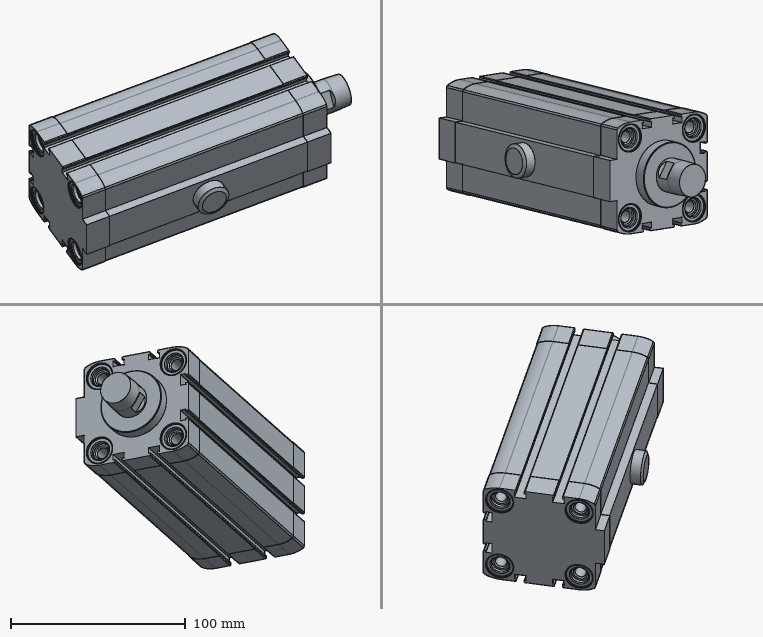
import cadquery as cq
import math

total_length = 186.4
total_width = 78.3
housing_length = 158.3
rear_cap_length = 15.0
front_cap_length = 15.3
cap_height = 65.5
cap_width = 65.8
barrel_inset = 0.2

half_width = cap_width / 2
half_height = cap_height / 2
screw_offset = 23.3
corner_drop = 2.8
corner_chamfer = 0.7
slot_offset = 11.2
slot_depth = 5.0
lip_depth = 1.7
lip_chamfer = 0.5
slot_opening = 4.7
slot_width = 6.7
ridge_width = 24.0
ridge_height = 5.2
ridge_face = half_width + ridge_height

mouth_diameter = 16.4
mouth_depth = 0.5
counterbore_diameter = 15.5
counterbore_depth = 1.1
countersink_diameter = 12.0
socket_diameter = 10.6
socket_depth = 3.7
core_chamfer_diameter = 8.4
core_diameter = 6.7

collar_diameter = 38.2
collar_length = 7.3
collar_chamfer = 0.4

rod_diameter = 20.0
rod_tip_diameter = 19.0
rod_tip_length = 10.3
flat_distance = 17.0
flat_length = 6.7
flat_tip_gap = 1.3
flat_tilt = 32.0

stud_diameter = 20.0
stud_end_diameter = 15.5
stud_end_length = 1.1
stud_tip = total_width - half_width
stud_position = 78.8

collar_face = housing_length + collar_length


def outer_profile(inset, start, length):
    """Length of the outer section, with every outer face set in by the given amount."""
    side = half_width - inset
    top = half_height - inset
    run = side - screw_offset
    crown_radius = (run**2 + corner_drop**2) / (2 * corner_drop)
    half_angle = math.asin(run / crown_radius) / 2
    mid_x = screw_offset + crown_radius * math.sin(half_angle)
    mid_z = top - crown_radius * (1 - math.cos(half_angle))
    side_end = top - corner_drop
    bar = (
        cq.Workplane("XZ", origin=(0, start, 0))
        .moveTo(-screw_offset, top)
        .lineTo(screw_offset, top)
        .threePointArc((mid_x, mid_z), (side, side_end))
        .lineTo(side, -side_end)
        .threePointArc((mid_x, -mid_z), (screw_offset, -top))
        .lineTo(-screw_offset, -top)
        .threePointArc((-mid_x, -mid_z), (-side, -side_end))
        .lineTo(-side, side_end)
        .threePointArc((-mid_x, mid_z), (-screw_offset, top))
        .close()
        .extrude(-length)
    )
    for side_face in ("<X", ">X"):
        bar = bar.faces(side_face).edges("|Y").chamfer(corner_chamfer)
    ridge = (
        cq.Workplane("XY", origin=(0, start, 0))
        .box(ridge_face - inset, length, ridge_width - 2 * inset, centered=(False, False, True))
    )
    return bar.union(ridge)


def slot_cutter(offset, face_distance, turn):
    """Undercut slot along the top at the given height, then turned about the Y axis."""
    floor = face_distance - slot_depth
    lip = face_distance - lip_depth
    mouth = slot_opening / 2 + lip_chamfer
    half_section = [
        (slot_width / 2, floor),
        (slot_width / 2, lip),
        (slot_opening / 2, lip),
        (slot_opening / 2, face_distance - lip_chamfer),
        (mouth, face_distance),
    ]
    section = half_section + [(-x, z) for x, z in reversed(half_section)]
    return (
        cq.Workplane("XZ")
        .polyline(section)
        .close()
        .extrude(-housing_length)
        .translate((offset, 0, 0))
        .rotate((0, 0, 0), (0, 1, 0), turn)
    )


def screw_hole():
    """Through hole for the corner screws, stepped alike from both ends."""
    sink_end = counterbore_depth + (countersink_diameter - socket_diameter) / 2
    core_end = socket_depth + (core_chamfer_diameter - core_diameter) / 2
    half_profile = [
        (0, 0),
        (mouth_diameter / 2, 0),
        (mouth_diameter / 2, mouth_depth),
        (counterbore_diameter / 2, mouth_depth),
        (counterbore_diameter / 2, counterbore_depth),
        (countersink_diameter / 2, counterbore_depth),
        (socket_diameter / 2, sink_end),
        (socket_diameter / 2, socket_depth),
        (core_chamfer_diameter / 2, socket_depth),
        (core_diameter / 2, core_end),
        (core_diameter / 2, housing_length / 2),
        (0, housing_length / 2),
    ]
    rear = cq.Workplane("XY").polyline(half_profile).close().revolve(360, (0, 0, 0), (0, 1, 0))
    return rear.union(rear.mirror("XZ", (0, housing_length / 2, 0)))


def make_housing():
    """Barrel with both end caps, clamping slots, screw holes and the front collar."""
    front_start = housing_length - front_cap_length
    body = outer_profile(barrel_inset, rear_cap_length, front_start - rear_cap_length)
    body = body.union(outer_profile(0, 0, rear_cap_length))
    body = body.union(outer_profile(0, front_start, front_cap_length))
    for face_distance, turn in ((half_height, 0), (half_width, -90), (half_height, 180)):
        for offset in (-slot_offset, slot_offset):
            body = body.cut(slot_cutter(offset, face_distance, turn))
    hole = screw_hole()
    for x in (-screw_offset, screw_offset):
        for z in (-screw_offset, screw_offset):
            body = body.cut(hole.translate((x, 0, z)))
    collar = (
        cq.Workplane("XZ", origin=(0, housing_length, 0))
        .circle(collar_diameter / 2)
        .extrude(-collar_length)
        .faces(">Y")
        .chamfer(collar_chamfer)
    )
    return body.union(collar)


def make_rod():
    """Rod seated on the collar, with a tapered tip and two opposite wrench flats."""
    shank_end = total_length - rod_tip_length
    rod = (
        cq.Workplane("XY")
        .polyline([
            (0, collar_face),
            (rod_diameter / 2, collar_face),
            (rod_diameter / 2, shank_end),
            (rod_tip_diameter / 2, total_length),
            (0, total_length),
        ])
        .close()
        .revolve(360, (0, 0, 0), (0, 1, 0))
    )
    inner = flat_distance / 2
    outer = rod_diameter
    flat_end = shank_end - flat_tip_gap
    flat_start = flat_end - flat_length
    runout = outer - inner
    cutter = (
        cq.Workplane("XY")
        .polyline([
            (inner, flat_start),
            (inner, flat_end),
            (outer, flat_end + runout),
            (outer, flat_start - runout),
        ])
        .close()
        .extrude(rod_diameter, both=True)
    )
    for angle in (-flat_tilt, 180 - flat_tilt):
        rod = rod.cut(cutter.rotate((0, 0, 0), (0, 1, 0), angle))
    return rod


def make_stud():
    """Round stud seated on the ridge, with a bevelled end."""
    return (
        cq.Workplane("XY")
        .polyline([
            (ridge_face, 0),
            (ridge_face, stud_diameter / 2),
            (stud_tip - stud_end_length, stud_diameter / 2),
            (stud_tip, stud_end_diameter / 2),
            (stud_tip, 0),
        ])
        .close()
        .revolve(360, (0, 0, 0), (1, 0, 0))
        .translate((0, stud_position, 0))
    )


housing = make_housing()
rod = make_rod()
stud = make_stud()
result = cq.Compound.makeCompound([housing.val(), rod.val(), stud.val()])